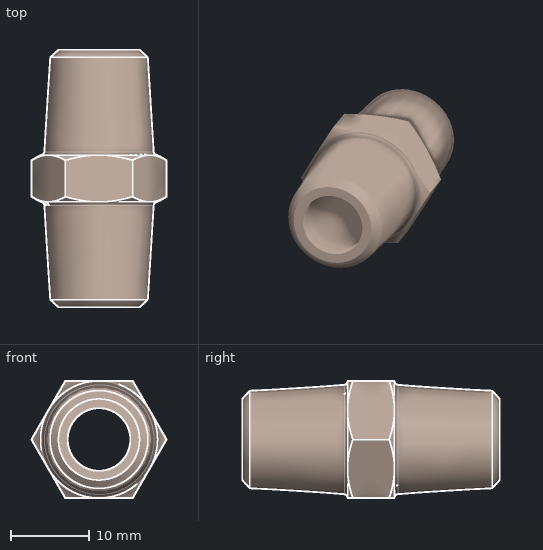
import cadquery as cq
import math

length = 33.0
bore_radius = 4.0
hex_across_flats = 15.0
hex_width = 6.0
hex_chamfer_angle = math.radians(30)
fillet_radius = 0.48
taper_slope = 1 / 16
tip_chamfer_length = 1.0
tip_face_radius = 5.2

half_length = length / 2
half_hex_width = hex_width / 2
flat_radius = hex_across_flats / 2
corner_radius = flat_radius / math.cos(math.pi / 6)
corner_drop = (corner_radius - flat_radius) * math.tan(hex_chamfer_angle)


def fillet_point(angle):
    """Point (radius, Y) on the concave fillet, swept by angle from the hexagon's end plane."""
    return (
        flat_radius - fillet_radius * math.sin(angle),
        half_hex_width + fillet_radius * (1 - math.cos(angle)),
    )


def turned_half():
    """Turned +Y half: chamfered collar, fillet tangent to the taper, and chamfered tip."""
    fillet_sweep = math.pi / 2 - math.atan(taper_slope)
    root_radius, taper_start = fillet_point(fillet_sweep)
    taper_end = half_length - tip_chamfer_length
    tip_radius = root_radius - taper_slope * (taper_end - taper_start)
    return (
        cq.Workplane("XY")
        .lineTo(corner_radius, 0)
        .lineTo(corner_radius, half_hex_width - corner_drop)
        .lineTo(flat_radius, half_hex_width)
        .threePointArc(fillet_point(fillet_sweep / 2), (root_radius, taper_start))
        .lineTo(tip_radius, taper_end)
        .lineTo(tip_face_radius, half_length)
        .lineTo(0, half_length)
        .close()
        .revolve(360, (0, 0, 0), (0, 1, 0))
    )


def hexagon_prism():
    """Full-length hexagon along Y, with flats facing +Z and -Z and corners on the X axis."""
    return cq.Workplane("XZ").polygon(6, 2 * corner_radius).extrude(half_length, both=True)


def bore():
    """Straight through bore along Y."""
    return cq.Workplane("XZ").circle(bore_radius).extrude(half_length, both=True)


half = turned_half()
turned_body = half.union(half.mirror("XZ")).clean()
result = turned_body.intersect(hexagon_prism()).cut(bore())